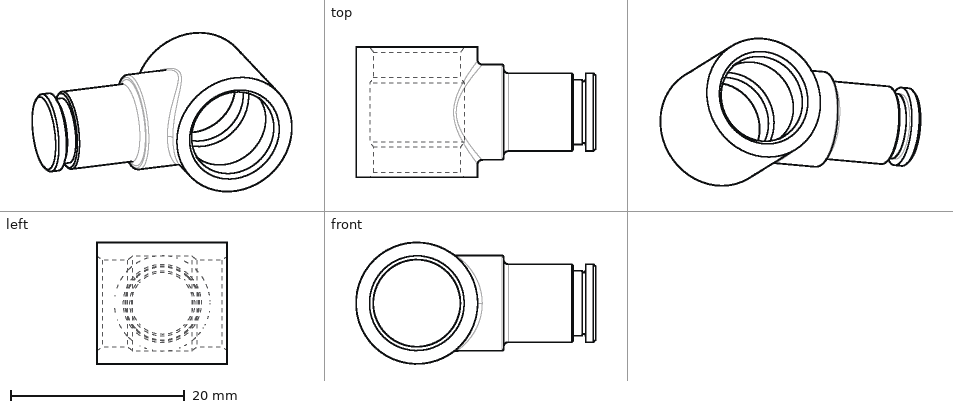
import cadquery as cq
import math

sleeve_diameter = 14.0
sleeve_length = 15.0

bore_diameter = 10.0
mouth_diameter = 10.9
mouth_depth = 0.6
relief_diameter = mouth_diameter
relief_length = 8.0
relief_taper_length = mouth_depth

total_length = 27.6
stem_end = total_length - sleeve_diameter / 2
collar_diameter = 11.0
collar_end = 10.0
collar_edge_round = 0.25
saddle_fillet = 0.5
barrel_diameter = 9.0
barrel_end = 18.0
barrel_root_fillet = 0.5
barrel_end_chamfer = 0.2
neck_diameter = 7.5
undercut_radius = 0.2
flange_diameter = barrel_diameter
flange_thickness = 1.2
flange_start = stem_end - flange_thickness
flange_chamfer = 0.3


def make_sleeve():
    """Solid sleeve cylinder, still without its bore."""
    return cq.Workplane("XZ").circle(sleeve_diameter / 2).extrude(sleeve_length / 2, both=True)


def make_stem():
    """Collar, barrel, undercut neck and end flange, revolved about X."""
    collar_radius = collar_diameter / 2
    barrel_radius = barrel_diameter / 2
    neck_radius = neck_diameter / 2
    flange_radius = flange_diameter / 2

    arc_inset = 1 - math.sqrt(0.5)
    edge_inset = collar_edge_round * arc_inset
    root_inset = barrel_root_fillet * arc_inset

    profile = (
        cq.Workplane("XY")
        .lineTo(0, collar_radius)
        .lineTo(collar_end - collar_edge_round, collar_radius)
        .threePointArc(
            (collar_end - edge_inset, collar_radius - edge_inset),
            (collar_end, collar_radius - collar_edge_round),
        )
        .lineTo(collar_end, barrel_radius + barrel_root_fillet)
        .threePointArc(
            (collar_end + root_inset, barrel_radius + root_inset),
            (collar_end + barrel_root_fillet, barrel_radius),
        )
        .lineTo(barrel_end - barrel_end_chamfer, barrel_radius)
        .lineTo(barrel_end, barrel_radius - barrel_end_chamfer)
        .lineTo(barrel_end, neck_radius)
        .lineTo(flange_start - 2 * undercut_radius, neck_radius)
        .threePointArc(
            (flange_start - undercut_radius, neck_radius - undercut_radius),
            (flange_start, neck_radius),
        )
        .lineTo(flange_start, flange_radius)
        .lineTo(stem_end - flange_chamfer, flange_radius)
        .lineTo(stem_end, flange_radius - flange_chamfer)
        .lineTo(stem_end, 0)
        .close()
    )
    return profile.revolve(360, (0, 0, 0), (1, 0, 0))


def round_saddle(body):
    """Fillet the seam where the collar runs into the sleeve."""
    seam = body.edges("not(%CIRCLE or %LINE)")
    return seam.fillet(saddle_fillet)


def make_bore():
    """Space inside the sleeve, revolved about Y."""
    half_length = sleeve_length / 2
    half_relief = relief_length / 2
    bore_radius = bore_diameter / 2
    front_half = [
        (mouth_diameter / 2, -half_length),
        (bore_radius, -half_length + mouth_depth),
        (bore_radius, -half_relief),
        (relief_diameter / 2, -half_relief + relief_taper_length),
    ]
    back_half = [(radius, -y) for radius, y in reversed(front_half)]
    outline = [(0, -half_length)] + front_half + back_half + [(0, half_length)]
    return cq.Workplane("XY").polyline(outline).close().revolve(360, (0, 0, 0), (0, 1, 0))


result = round_saddle(make_sleeve().union(make_stem())).cut(make_bore())